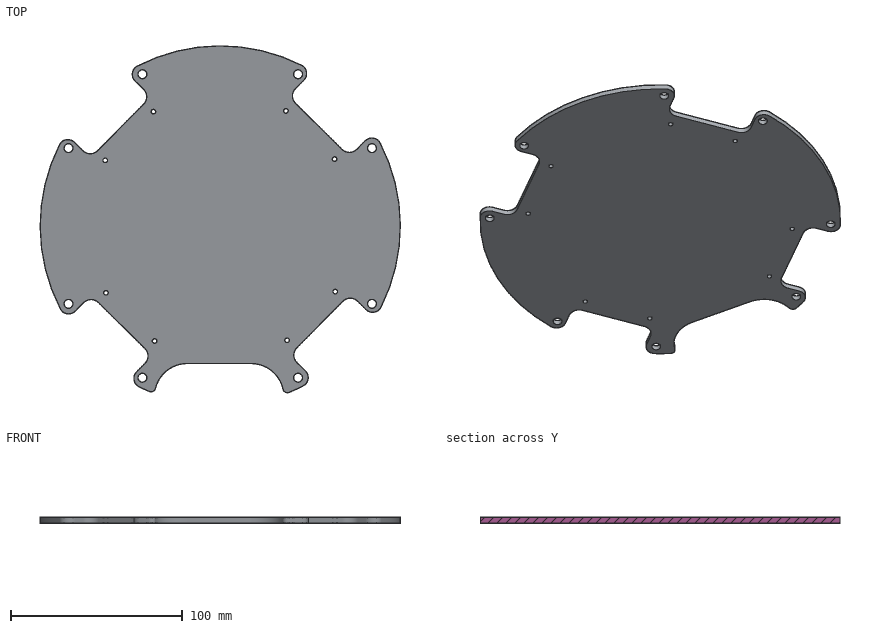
import cadquery as cq
import math

disc_diameter = 210
disc_radius = disc_diameter / 2
thickness = 3.5

notch_turn = 0.3
notch_angles = [45 + notch_turn + 90 * i for i in range(4)]
notch_width = 50.2
notch_floor = 81.7
notch_floor_fillet = 6.0
notch_mouth_fillet = 5.5

cutout_width = 75.2
cutout_floor = 80.2
cutout_shift = -0.6
cutout_floor_fillet = 19
cutout_mouth_fillet = 2.7

rim_hole_diameter = 5.0
rim_hole_near = 45.4
rim_hole_far = 88.5

small_hole_diameter = 2.5
small_hole_spacing = 40
small_hole_offset = 74.5


def radial_pocket(floor, width, floor_fillet, angle, shift=0):
    """Cutter that opens outward along +X, with rounded floor corners, turned to the given angle."""
    return (
        cq.Workplane("XY")
        .center(floor, shift)
        .rect(disc_radius, width)
        .extrude(thickness)
        .translate((disc_radius / 2, 0, 0))
        .edges("|Z and <X")
        .fillet(floor_fillet)
        .rotate((0, 0, 0), (0, 0, 1), angle)
    )


def mouth_edge(angle, half_width, shift=0):
    """Point on the rim edge where a pocket wall, offset sideways, meets the disc."""
    side = half_width + shift
    rim_angle = math.radians(angle) + math.asin(side / disc_radius)
    return (disc_radius * math.cos(rim_angle), disc_radius * math.sin(rim_angle), thickness / 2)


def round_mouth(body, angle, width, radius, shift=0):
    """Round both corners where a pocket breaks through the rim."""
    for half_width in (-width / 2, width / 2):
        corner = mouth_edge(angle, half_width, shift)
        body = body.edges(cq.selectors.NearestToPointSelector(corner)).fillet(radius)
    return body


plate = cq.Workplane("XY").circle(disc_radius).extrude(thickness)

for angle in notch_angles:
    plate = plate.cut(radial_pocket(notch_floor, notch_width, notch_floor_fillet, angle))
    plate = round_mouth(plate, angle, notch_width, notch_mouth_fillet)

cutout_angle = -90
plate = plate.cut(
    radial_pocket(cutout_floor, cutout_width, cutout_floor_fillet, cutout_angle, cutout_shift)
)
plate = round_mouth(plate, cutout_angle, cutout_width, cutout_mouth_fillet, cutout_shift)

rim_hole_points = []
for sx in (-1, 1):
    for sy in (-1, 1):
        rim_hole_points.append((sx * rim_hole_near, sy * rim_hole_far))
        rim_hole_points.append((sx * rim_hole_far, sy * rim_hole_near))
rim_holes = cq.Workplane("XY").pushPoints(rim_hole_points).circle(rim_hole_diameter / 2).extrude(thickness)
plate = plate.cut(rim_holes)

small_hole_pair = (
    cq.Workplane("XY")
    .pushPoints([(small_hole_offset, side * small_hole_spacing / 2) for side in (-1, 1)])
    .circle(small_hole_diameter / 2)
    .extrude(thickness)
)
for angle in notch_angles:
    plate = plate.cut(small_hole_pair.rotate((0, 0, 0), (0, 0, 1), angle))

result = plate